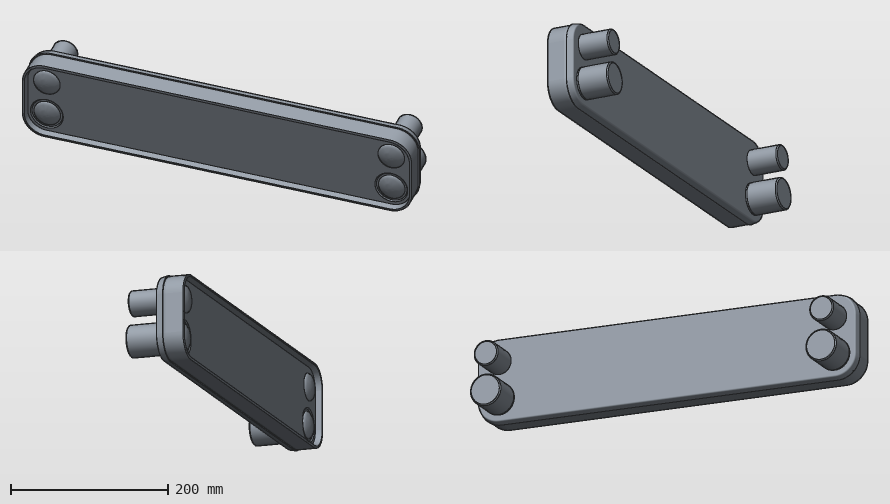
import cadquery as cq
import math

LENGTH = 527.5
HEIGHT = 113.0
DEPTH = 82.0
CORNER_RADIUS = 30.5
WALL_DRAFT = 11.5

LIP_HEIGHT = 1.0
PACK_STRAIGHT_END = 24.0
COVER_FRONT = 28.0
COVER_THICKNESS = 9.5
COVER_BACK = COVER_FRONT + COVER_THICKNESS
COVER_OVERHANG = 1.0
COVER_EDGE_RADIUS = 2.0

LIP_WIDTH = 2.5
LIP_EDGE_RADIUS = 0.5
RECESS_DEPTH = 8.5
TRAY_BACK = 10.5

PORT_X = 232.5
PORT_Z = 25.0
SMALL_PIPE_DIAMETER = 33.0
LARGE_PIPE_DIAMETER = 42.0
SMALL_PIPE_SETBACK = 1.5
PIPE_CHAMFER = 1.5
BOSS_HEIGHT = 2.0

DOME_RADIUS = 18.0
DOME_HEIGHT = 6.5
DISH_RADIUS = 22.0
DISH_DEPTH = 1.5


def xz_plane(y):
    """Workplane at depth y whose normal points to +Y, with local x along -X and local y along +Z."""
    return cq.Workplane(cq.Plane(origin=(0, y, 0), xDir=(-1, 0, 0), normal=(0, 1, 0)))


def rounded_block(front, back, inset, draft=0):
    """Rounded rectangle, inset from the cover outline, narrowing by the draft toward +Y."""
    outline = cq.Sketch().rect(LENGTH - 2 * inset, HEIGHT - 2 * inset)
    outline = outline.vertices().fillet(CORNER_RADIUS - inset)
    return xz_plane(front).placeSketch(outline).extrude(back - front, taper=draft)


def disc(x, z, diameter, front, back):
    return xz_plane(front).center(-x, z).circle(diameter / 2).extrude(back - front)


def dome(x, z, base_y):
    """Half of a flattened ellipsoid on a round base at base_y, bulging toward -Y."""
    profile = (
        cq.Workplane("XY")
        .ellipseArc(DOME_RADIUS, DOME_HEIGHT, 270, 360, startAtCurrent=False)
        .lineTo(0, 0)
        .close()
    )
    return profile.revolve(360, (0, 0, 0), (0, 1, 0)).translate((x, base_y, z))


def dish(x, z):
    """Cutter for the shallow cone around the dome of a large port."""
    floor_radius = DISH_RADIUS - DISH_DEPTH
    return (
        xz_plane(RECESS_DEPTH)
        .center(-x, z)
        .circle(DISH_RADIUS)
        .workplane(offset=DISH_DEPTH)
        .circle(floor_radius)
        .loft()
    )


def tray_seat():
    """Drafted outer shape of the front plate, which is also the pocket in the pack."""
    return rounded_block(LIP_HEIGHT, TRAY_BACK, COVER_OVERHANG, WALL_DRAFT)


def make_front_plate():
    lip = rounded_block(0, LIP_HEIGHT, COVER_OVERHANG)
    lip = lip.faces("<Y").edges().fillet(LIP_EDGE_RADIUS)
    recess_inset = COVER_OVERHANG + LIP_WIDTH
    plate = lip.union(tray_seat())
    plate = plate.cut(rounded_block(0, RECESS_DEPTH, recess_inset, WALL_DRAFT))
    for x in (-PORT_X, PORT_X):
        plate = plate.union(dome(x, PORT_Z, RECESS_DEPTH))
        plate = plate.cut(dish(x, -PORT_Z))
        plate = plate.union(dome(x, -PORT_Z, RECESS_DEPTH + DISH_DEPTH))
    return plate


def make_pack():
    straight = rounded_block(LIP_HEIGHT, PACK_STRAIGHT_END, COVER_OVERHANG)
    drafted = rounded_block(PACK_STRAIGHT_END, COVER_FRONT, COVER_OVERHANG, WALL_DRAFT)
    return straight.union(drafted).cut(tray_seat())


def make_cover():
    cover = rounded_block(COVER_FRONT, COVER_BACK, 0, WALL_DRAFT)
    cover = cover.faces(">Y").edges().fillet(COVER_EDGE_RADIUS)
    for x in (-PORT_X, PORT_X):
        boss = disc(x, -PORT_Z, LARGE_PIPE_DIAMETER, COVER_BACK, COVER_BACK + BOSS_HEIGHT)
        cover = cover.union(boss)
    return cover


def make_pipe(x, z, diameter, front, back):
    return disc(x, z, diameter, front, back).faces(">Y").edges().chamfer(PIPE_CHAMFER)


front_plate = make_front_plate()
pack = make_pack()
cover = make_cover()

small_pipes = []
large_pipes = []
for port_x in (-PORT_X, PORT_X):
    small_pipe = make_pipe(port_x, PORT_Z, SMALL_PIPE_DIAMETER, COVER_BACK, DEPTH - SMALL_PIPE_SETBACK)
    small_pipes.append(small_pipe.val())
    large_pipe = make_pipe(port_x, -PORT_Z, LARGE_PIPE_DIAMETER, COVER_BACK + BOSS_HEIGHT, DEPTH)
    large_pipes.append(large_pipe.val())

result = cq.Compound.makeCompound(
    [front_plate.val(), pack.val(), cover.val(), *small_pipes, *large_pipes]
)